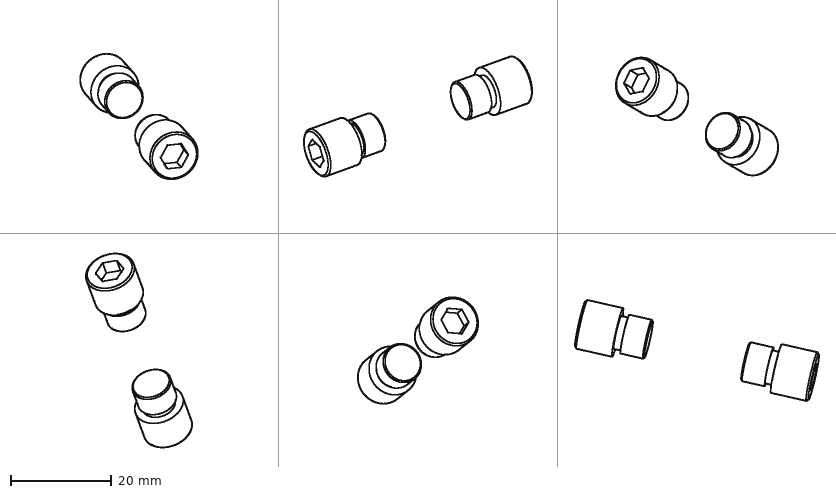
import cadquery as cq

overall_length = 47.9
screw_length = 14.05

head_diameter = 10.0
head_length = 7.65
head_chamfer = 0.4

neck_diameter = 6.8
neck_length = 1.5

tip_diameter = 8.0
tip_length = screw_length - head_length - neck_length
tip_chamfer = 0.3

socket_across_corners = 5.8
socket_depth = 3.0


def cylinder_along_x(start, length, diameter):
    return cq.Workplane("YZ", origin=(start, 0, 0)).circle(diameter / 2).extrude(length)


def make_screw():
    """Screw with its head face at X = 0 and its tip pointing along +X."""
    head = cylinder_along_x(0, head_length, head_diameter).faces("<X").chamfer(head_chamfer)
    neck = cylinder_along_x(head_length, neck_length, neck_diameter)
    tip = cylinder_along_x(head_length + neck_length, tip_length, tip_diameter)
    tip = tip.faces(">X").chamfer(tip_chamfer)
    socket = cq.Workplane("YZ").polygon(6, socket_across_corners).extrude(socket_depth)
    return head.union(neck).union(tip).cut(socket)


screws = []
for end, turn in ((-1, 0), (1, 180)):
    screw = make_screw().rotate((0, 0, 0), (0, 0, 1), turn)
    screws.append(screw.translate((end * overall_length / 2, 0, 0)).val())

result = cq.Compound.makeCompound(screws)